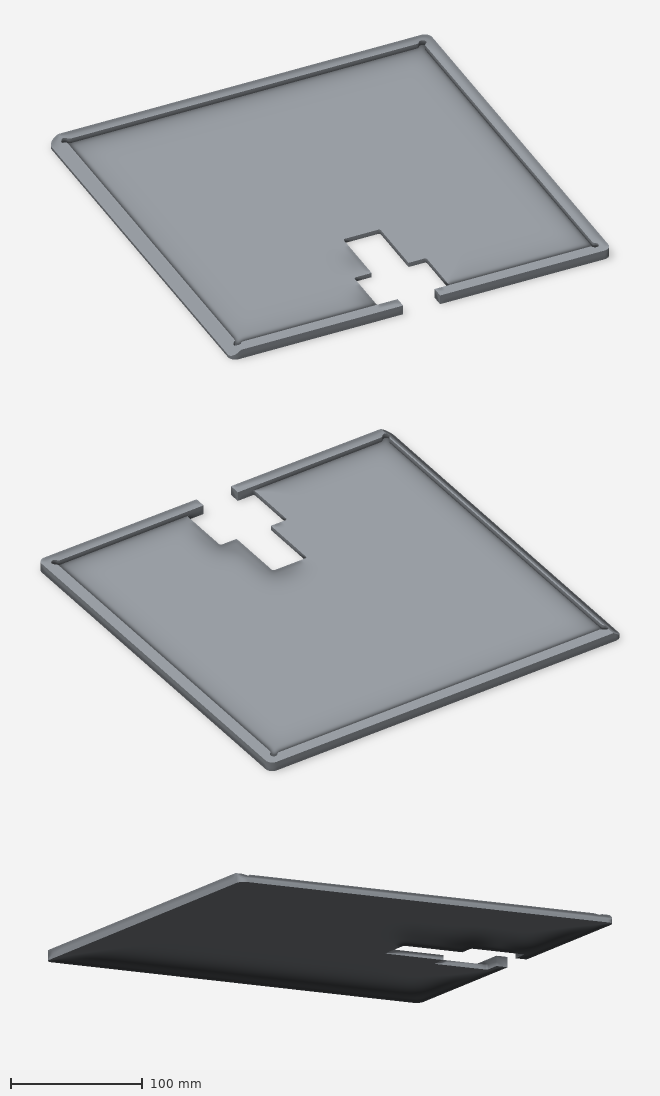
import cadquery as cq

side = 320.0
height = 8.0
floor_thickness = 4.0
rim_width = 9.5
corner_radius = 6.0
relief_radius = 3.0
relief_blend = 3.0

bevel_run = 8.3
bevel_drop = 5.8

notch_start = 215.0
notch_width = 31.0
wide_start = 265.0
wide_width = 60.8
notch_corner_radius = 1.5

half = side / 2
inner_half = half - rim_width


def make_blank():
    """Square plate with rounded vertical corners."""
    plate = cq.Workplane("XY").box(side, side, height, centered=(True, True, False))
    return plate.edges("|Z").fillet(corner_radius)


def make_recess():
    """Square recess with a round relief at each corner."""
    depth = height - floor_thickness
    floor = cq.Workplane("XY").workplane(offset=floor_thickness)
    square = floor.rect(2 * inner_half, 2 * inner_half).extrude(depth)
    reliefs = floor.rect(2 * inner_half, 2 * inner_half, forConstruction=True).vertices()
    recess = square.union(reliefs.circle(relief_radius).extrude(depth))
    near = inner_half - relief_radius
    mid_height = floor_thickness + depth / 2
    for x_side in (-1, 1):
        for y_side in (-1, 1):
            for x, y in ((inner_half, near), (near, inner_half)):
                junction = cq.selectors.NearestToPointSelector((x_side * x, y_side * y, mid_height))
                recess = recess.edges(junction).fillet(relief_blend)
    return recess


def make_bevel():
    """Wedge removed along the whole front edge."""
    return (
        cq.Workplane("YZ", origin=(-half, 0, 0))
        .moveTo(-half, height)
        .lineTo(-half + bevel_run, height)
        .lineTo(-half, height - bevel_drop)
        .close()
        .extrude(side)
    )


def make_slot(start, end, width):
    """Through slot between two distances from the -X side."""
    slot = cq.Workplane("XY").box(end - start, width, height, centered=(False, True, False))
    return slot.translate((start - half, 0, 0))


def make_notch():
    """Stepped notch with its inner corners rounded."""
    narrow_slot = make_slot(notch_start, side, notch_width).edges("|Z and <X").fillet(notch_corner_radius)
    wide_slot = make_slot(wide_start, side - rim_width, wide_width).edges("|Z").fillet(notch_corner_radius)
    return narrow_slot.union(wide_slot)


result = make_blank().cut(make_recess()).cut(make_bevel()).cut(make_notch())